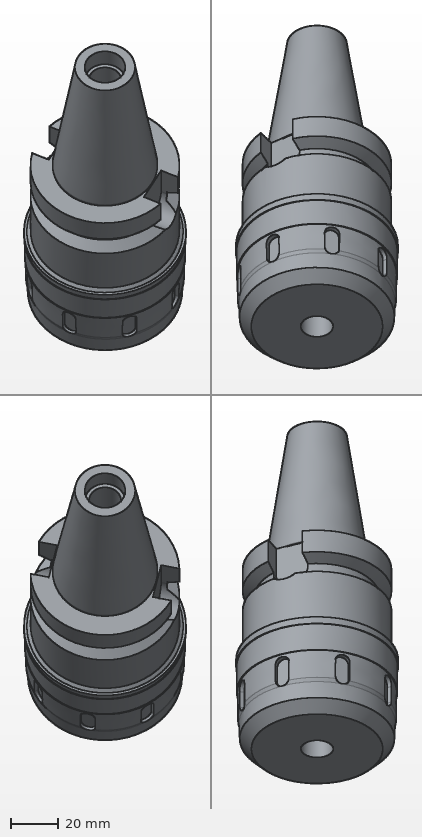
import cadquery as cq

total_height = 155.4
largest_radius = 34.3

nut_face_radius = 27.8
nut_nose_radius = 32.8
nut_nose_height = 5.1
nose_top_radius = 33.1
nose_top_height = 13.0
grip_bottom_radius = 33.5
grip_bottom_height = 14.9
grip_top_radius = 33.7
sleeve_radius = 34.0
sleeve_bottom_height = 28.3
collar_bottom_height = 41.2
collar_top_height = 44.5
lip_radius = 33.1
lip_top_height = 45.7

flange_radius = 31.5
groove_radius = 26.4
body_top_height = 68.8
groove_bottom_height = 71.6
groove_top_height = 76.0
flange_bottom_height = 78.6
flange_top_height = 89.4

gauge_radius = 22.2
gauge_height = 90.3
taper_on_diameter = 7 / 24
shank_end_radius = gauge_radius - (total_height - gauge_height) * taper_on_diameter / 2

bore_radius = 6.8
counterbore_radius = 8.5
counterbore_depth = 8.7

keyway_width = 16.2
keyway_floor = 22.5
keyway_bottom_height = 67.1

slot_count = 8
slot_width = 6.4
slot_bottom_height = 12.9
slot_top_height = 27.0
slot_floor = 31.5


def turned_body():
    """Outer shape of nut, holder and shank, turned about Z."""
    outline = [
        (0, 0),
        (nut_face_radius, 0),
        (nut_nose_radius, nut_nose_height),
        (nose_top_radius, nose_top_height),
        (grip_bottom_radius, grip_bottom_height),
        (grip_top_radius, sleeve_bottom_height),
        (sleeve_radius, sleeve_bottom_height),
        (sleeve_radius, collar_bottom_height),
        (largest_radius, collar_bottom_height),
        (largest_radius, collar_top_height),
        (lip_radius, collar_top_height),
        (flange_radius, lip_top_height),
        (flange_radius, body_top_height),
        (groove_radius, groove_bottom_height),
        (groove_radius, groove_top_height),
        (flange_radius, flange_bottom_height),
        (flange_radius, flange_top_height),
        (gauge_radius, flange_top_height),
        (gauge_radius, gauge_height),
        (shank_end_radius, total_height),
        (0, total_height),
    ]
    return cq.Workplane("XZ").polyline(outline).close().revolve(360, (0, 0), (0, 1))


def bore():
    """Through bore with a counterbore at the small end of the shank."""
    through = cq.Workplane("XY").circle(bore_radius).extrude(total_height)
    counterbore = (
        cq.Workplane("XY", origin=(0, 0, total_height - counterbore_depth))
        .circle(counterbore_radius)
        .extrude(counterbore_depth)
    )
    return through.union(counterbore)


def keyway():
    """Round-bottomed keyway on the +X side, open at the flange top."""
    half_width = keyway_width / 2
    arc_height = keyway_bottom_height + half_width
    return (
        cq.Workplane("YZ", origin=(keyway_floor, 0, 0))
        .moveTo(-half_width, flange_top_height)
        .lineTo(-half_width, arc_height)
        .threePointArc((0, keyway_bottom_height), (half_width, arc_height))
        .lineTo(half_width, flange_top_height)
        .close()
        .extrude(largest_radius - keyway_floor)
    )


def spanner_slot():
    """Flat-floored slot with round ends on the +X side of the nut."""
    middle_height = (slot_bottom_height + slot_top_height) / 2
    slot_length = slot_top_height - slot_bottom_height
    return (
        cq.Workplane("YZ", origin=(slot_floor, 0, middle_height))
        .slot2D(slot_length, slot_width, 90)
        .extrude(largest_radius - slot_floor)
    )


def turned_about_axis(shape, angle):
    """The shape turned about the tool axis."""
    return shape.rotate((0, 0, 0), (0, 0, 1), angle)


result = turned_body().cut(bore())

for side_angle in (0, 180):
    result = result.cut(turned_about_axis(keyway(), side_angle))

for index in range(slot_count):
    slot_angle = index * 360 / slot_count
    result = result.cut(turned_about_axis(spanner_slot(), slot_angle))